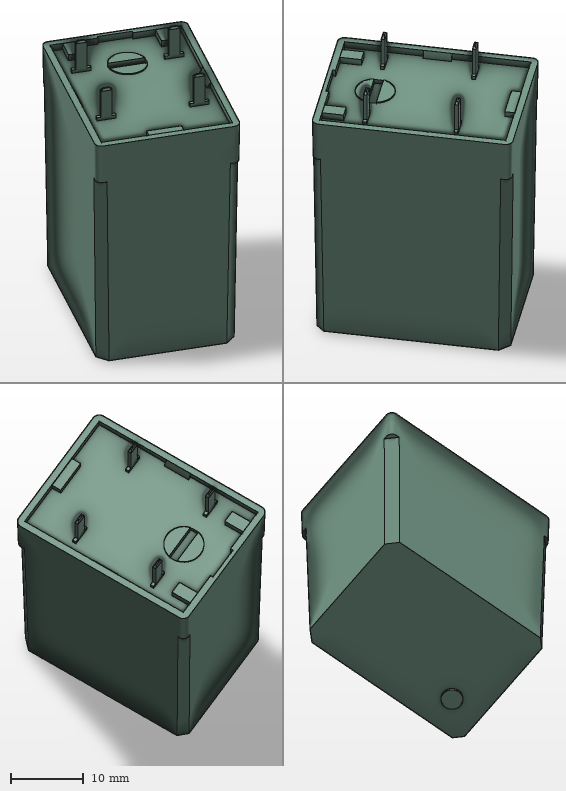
import cadquery as cq
import math

total_height = 39.7
case_length = 28.0
case_width = 20.7
foot_height = 0.4
pin_above_rim = 4.0
rim_z = total_height - foot_height - pin_above_rim
draft_inset = 0.48
draft_angle = math.degrees(math.atan(draft_inset / rim_z))

corner_radius = 1.0
rounded_height = 6.0
left_corner_cut = 1.2
right_corner_cut = 1.45
ledge_z = rim_z - rounded_height

wall_thickness = 1.0
recess_depth = 1.0
floor_z = rim_z - recess_depth
recess_length = case_length - 2 * wall_thickness
recess_width = case_width - 2 * wall_thickness

key_width = 5.0
key_length = 1.43
key_height = 0.8
keyway_depth = 0.4

latch_length = 3.97
latch_reach = 0.5

pad_length = 3.0
pad_width = 1.85
pad_rim_gap = 0.05
pad_height = recess_depth - pad_rim_gap

pin_columns = (-7.0, 5.75)
row_offset = 6.63
pin_thickness = 0.5
pin_width = 1.6
pin_base_width = 2.75
pin_base_height = 0.5
tip_height = 0.3
tip_inset_x = 0.15
tip_inset_y = 0.35
pin_height = recess_depth + pin_above_rim

disc_x = pin_columns[0]
disc_diameter = 5.5
disc_height = 0.15
slot_width = 1.3
slot_depth = 0.8

foot_diameter = 3.0
foot_x = -8.5
foot_y = -5.0


def box_on(z, length, width, height, x=0.0, y=0.0):
    """Box centred on (x, y) that stands on height z."""
    return cq.Workplane("XY", origin=(x, y, z)).rect(length, width).extrude(height)


def disc_on(z, diameter, height, x, y):
    """Upright cylinder centred on (x, y) that stands on height z."""
    return cq.Workplane("XY", origin=(x, y, z)).circle(diameter / 2).extrude(height)


def drafted_block(z_low, z_high):
    """Slice of the drafted case between two heights, with sharp corners."""
    lean = draft_inset * (rim_z - z_high) / rim_z
    top_length = case_length - 2 * lean
    top_width = case_width - 2 * lean
    top = cq.Workplane("XY", origin=(0, 0, z_high)).rect(top_length, top_width)
    return top.extrude(z_low - z_high, taper=draft_angle)


def make_case():
    upper = drafted_block(ledge_z, rim_z).edges("not(|X or |Y)").fillet(corner_radius)
    lower = drafted_block(0, ledge_z)
    lower = lower.edges("not(|X or |Y)").edges("<X").chamfer(left_corner_cut)
    lower = lower.faces(">X").edges("not |Y").chamfer(right_corner_cut)
    recess = box_on(floor_z, recess_length, recess_width, recess_depth)
    keyway_x = -(recess_length + keyway_depth) / 2
    keyway = box_on(floor_z, keyway_depth, key_width, recess_depth, x=keyway_x)
    return upper.union(lower).cut(recess).cut(keyway)


def make_latch():
    """Wedge on the +Y wall, sloping from the rim to its full reach at the floor."""
    wall_y = recess_width / 2
    profile = [(wall_y, floor_z), (wall_y - latch_reach, floor_z), (wall_y, rim_z)]
    return cq.Workplane("YZ").polyline(profile).close().extrude(latch_length / 2, both=True)


def make_pin(x, y):
    base = box_on(floor_z, pin_thickness, pin_base_width, pin_base_height, x, y)
    blade_height = pin_height - tip_height
    blade = box_on(floor_z, pin_thickness, pin_width, blade_height, x, y)
    tip = (
        cq.Workplane("XY", origin=(x, y, floor_z + blade_height))
        .rect(pin_thickness, pin_width)
        .workplane(offset=tip_height)
        .rect(pin_thickness - 2 * tip_inset_x, pin_width - 2 * tip_inset_y)
        .loft(ruled=True)
    )
    return base.union(blade).union(tip)


result = make_case()

key_x = (recess_length - key_length) / 2
result = result.union(box_on(floor_z, key_length, key_width, key_height, x=key_x))

latch = make_latch()
result = result.union(latch).union(latch.mirror("XZ"))

pad_x = -(recess_length - pad_length) / 2
for row_y in (-row_offset, row_offset):
    result = result.union(box_on(floor_z, pad_length, pad_width, pad_height, pad_x, row_y))
    for column_x in pin_columns:
        result = result.union(make_pin(column_x, row_y))

result = result.union(disc_on(floor_z, disc_diameter, disc_height, disc_x, 0))
slot_floor_z = floor_z + disc_height - slot_depth
slot_bar = box_on(slot_floor_z, slot_width, disc_diameter, slot_depth, x=disc_x)
slot = slot_bar.intersect(disc_on(slot_floor_z, disc_diameter, slot_depth, disc_x, 0))
result = result.cut(slot)

result = result.union(disc_on(-foot_height, foot_diameter, foot_height, foot_x, foot_y))